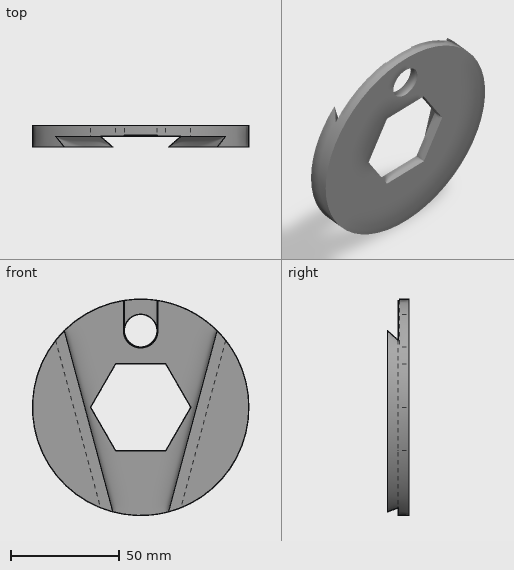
import cadquery as cq
import math

disc_radius = 50.0
web_thickness = 5.0
rail_height = 5.0
back_y = web_thickness
floor_y = 0.0
front_y = -rail_height

channel_half_width = 25.8
side_angle = math.radians(15)
undercut_angle = math.radians(45)

hex_across_flats = 40.0

hole_diameter = 15.0
hole_z = 35.4
groove_depth = 0.5
groove_floor_half_width = hole_diameter / 2
groove_half_width = groove_floor_half_width + groove_depth

through_length = 3 * (web_thickness + rail_height)


def plane_at(y):
    """Plane whose local axes are X and Z and whose normal points to -Y."""
    return cq.Workplane("XZ", origin=(0, y, 0))


def channel_section(y, half_width):
    """Channel outline at depth y, extended past the disc at both ends."""
    reach = disc_radius + 1
    spread = reach * math.tan(side_angle)
    return plane_at(y).polyline([
        (-half_width - spread, reach),
        (half_width + spread, reach),
        (half_width - spread, -reach),
        (-half_width + spread, -reach),
    ]).close()


def make_channel():
    widening = rail_height * math.tan(undercut_angle) / math.cos(side_angle)
    front_wire = channel_section(front_y, channel_half_width).val()
    floor_wire = channel_section(floor_y, channel_half_width + widening).val()
    return cq.Workplane(cq.Solid.makeLoft([floor_wire, front_wire], True))


def make_groove():
    """Round-bottomed groove with 45 degree walls, narrowest at its floor."""
    length = disc_radius + 1 - hole_z
    straight = (
        cq.Workplane("XY", origin=(0, 0, hole_z))
        .polyline([
            (-groove_half_width, floor_y),
            (groove_half_width, floor_y),
            (groove_floor_half_width, floor_y + groove_depth),
            (-groove_floor_half_width, floor_y + groove_depth),
        ])
        .close()
        .extrude(length)
    )
    rounded_end = cq.Solid.makeCone(
        groove_half_width,
        groove_floor_half_width,
        groove_depth,
        cq.Vector(0, floor_y, hole_z),
        cq.Vector(0, 1, 0),
    )
    return straight.union(cq.Workplane(rounded_end))


def make_hexagon():
    corner_diameter = hex_across_flats / math.cos(math.radians(30))
    return plane_at(0).polygon(6, corner_diameter).extrude(through_length, both=True)


def make_hole():
    return (
        plane_at(0)
        .center(0, hole_z)
        .circle(hole_diameter / 2)
        .extrude(through_length, both=True)
    )


disc = plane_at(back_y).circle(disc_radius).extrude(web_thickness + rail_height)
result = disc.cut(make_channel()).cut(make_groove()).cut(make_hexagon()).cut(make_hole())